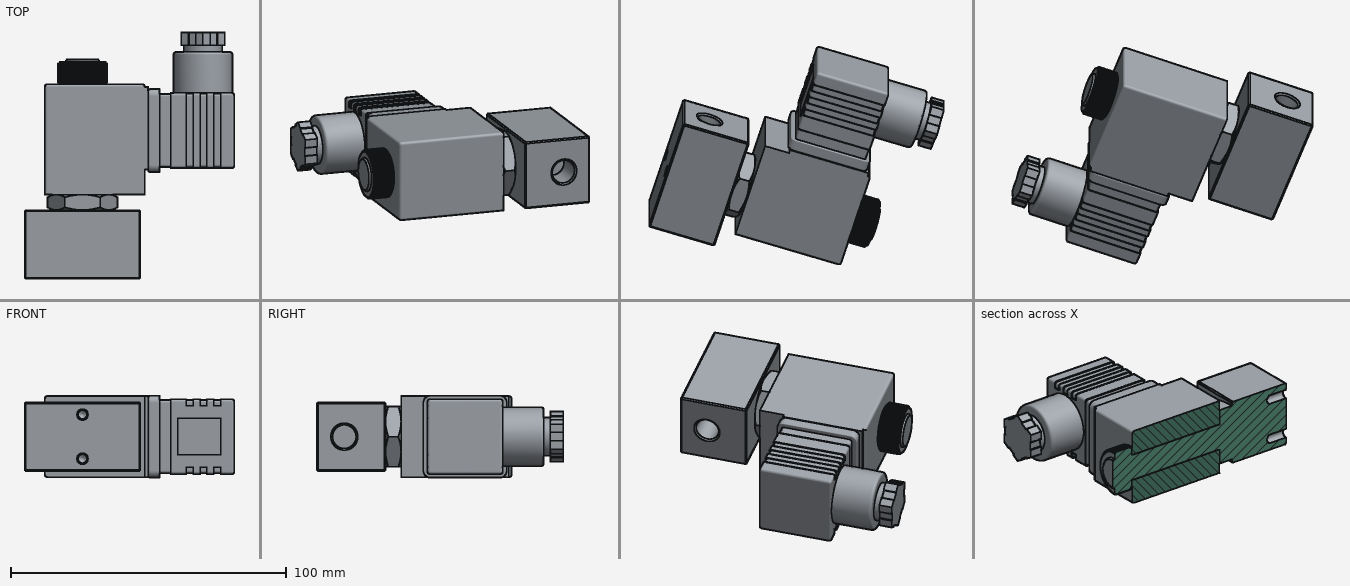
import cadquery as cq
import math


BLOCK_X = 42.0
BLOCK_Y = 25.0
BLOCK_Z = 25.0
BLOCK_CHAMFER = 0.5
MOUNT_HOLE_DIA = 3.24
MOUNT_HOLE_MOUTH_DIA = 4.0
MOUNT_HOLE_DEPTH = 8.0
MOUNT_HOLE_Z = 8.0
DRILL_TIP_ANGLE = 118.0
PORT_DIA = 8.57
PORT_MOUTH_DIA = 9.8
PORT_DEPTH = 12.0
PORT_Y = 10.0

HEX_ACROSS_FLATS = 22.0
HEX_HEIGHT = 5.6
HEX_CHAMFER_ANGLE = 30.0
STEM_DIA = 10.5
NUT_COLLAR_DIA = 16.0
NUT_COLLAR_HEIGHT = 0.5
KNURL_DIA = 18.0
KNURL_DEPTH = 0.3
KNURL_HEIGHT = 7.1
KNURL_TEETH = 90
KNURL_BEVEL = 0.25
NUT_TOP_DIA = 16.7
NUT_TOP_HEIGHT = 0.55
NUT_CAP_BASE_DIA = 12.4
NUT_CAP_TOP_DIA = 11.4
NUT_CAP_HEIGHT = 0.8

COIL_LEFT_X = -13.7
COIL_RIGHT_X = 22.6
COIL_Y = 40.1
COIL_Z = 29.5
COIL_FILLET = 1.0
SOCKET_X = 23.8
SOCKET_Y = 30.0

PLUG_END_X = 55.1
PLUG_CENTRE_Y = 53.82
FLANGE_X = 4.2
FLANGE_Y = 30.2
FLANGE_Z = 29.8
FLANGE_CORNER = 2.5
FLANGE_COIL_SIDE_FILLET = 0.8
FLANGE_OUTER_FILLET = 0.3
PLUG_NECK_X = 4.0
PLUG_NECK_SIZE = 26.6
PLUG_BODY_SIZE = 27.3
PLUG_FILLET = 1.0
GROOVE_WIDTH = 2.5
GROOVE_PITCH = 5.0
GROOVE_COUNT = 3
FIRST_GROOVE_X = 38.9
GROOVE_SIDE_LENGTH = 2.5
LABEL_X = 15.7
LABEL_Z = 13.2
LABEL_CENTRE_X = 42.35
LABEL_DEPTH = 0.3

GLAND_X = 43.7
GLAND_DIA = 21.5
GLAND_TOP_Y = 82.35
GLAND_FILLET = 1.0
GLAND_NECK_DIA = 14.0
GLAND_NUT_BOTTOM_Y = 84.75
GLAND_NUT_TOP_Y = 89.45
GLAND_NUT_ACROSS_FLATS = 15.9
GLAND_NUT_NOTCH_DEPTH = 0.5

COIL_BOTTOM_Y = BLOCK_Y + HEX_HEIGHT
COIL_TOP_Y = COIL_BOTTOM_Y + COIL_Y
NUT_BOTTOM_Y = COIL_TOP_Y + NUT_COLLAR_HEIGHT
KNURL_TOP_Y = NUT_BOTTOM_Y + KNURL_HEIGHT
NUT_TOP_Y = KNURL_TOP_Y + NUT_TOP_HEIGHT
NUT_CAP_TOP_Y = NUT_TOP_Y + NUT_CAP_HEIGHT


def plane_y(y, x=0.0):
    """Workplane facing +Y, with local X along X and local Y along -Z."""
    return cq.Workplane(cq.Plane(origin=(x, y, 0), xDir=(1, 0, 0), normal=(0, 1, 0)))


def cylinder_y(diameter, y_start, y_end, x=0.0):
    """Cylinder along Y between two Y positions."""
    return plane_y(y_start, x).circle(diameter / 2).extrude(y_end - y_start)


def box_between(x_range, y_range, z_size):
    """Box given by its X and Y limits, centred on Z = 0."""
    x_start, x_end = x_range
    y_start, y_end = y_range
    sketch = cq.Workplane("XY", origin=((x_start + x_end) / 2, (y_start + y_end) / 2, 0))
    return sketch.box(x_end - x_start, y_end - y_start, z_size)


def revolve_y(points):
    """Solid of revolution about the Y axis from (radius, y) points."""
    return cq.Workplane("XY").polyline(points).close().revolve(360, (0, 0, 0), (0, 1, 0))


def blind_hole_cutter(diameter, mouth_diameter, depth, tip_height):
    """Hole along +Z from Z = 0 with a 45 degree mouth chamfer and a pointed or flat floor."""
    radius = diameter / 2
    mouth_radius = mouth_diameter / 2
    profile = cq.Workplane("XZ").moveTo(0, 0).lineTo(mouth_radius, 0)
    profile = profile.lineTo(radius, mouth_radius - radius).lineTo(radius, depth)
    profile = profile.lineTo(0, depth + tip_height) if tip_height else profile.lineTo(0, depth)
    return profile.close().revolve(360, (0, 0, 0), (0, 1, 0))


def make_block():
    """Chamfered block with two mounting holes and a port in each end."""
    block = box_between((-BLOCK_X / 2, BLOCK_X / 2), (0, BLOCK_Y), BLOCK_Z)
    block = block.edges().chamfer(BLOCK_CHAMFER)

    tip_height = MOUNT_HOLE_DIA / 2 / math.tan(math.radians(DRILL_TIP_ANGLE / 2))
    mount_hole = blind_hole_cutter(MOUNT_HOLE_DIA, MOUNT_HOLE_MOUTH_DIA, MOUNT_HOLE_DEPTH, tip_height)
    mount_hole = mount_hole.rotate((0, 0, 0), (1, 0, 0), -90)
    for z in (-MOUNT_HOLE_Z, MOUNT_HOLE_Z):
        block = block.cut(mount_hole.translate((0, 0, z)))

    port = blind_hole_cutter(PORT_DIA, PORT_MOUTH_DIA, PORT_DEPTH, 0)
    for side in (-1, 1):
        facing_in = port.rotate((0, 0, 0), (0, 1, 0), -side * 90)
        block = block.cut(facing_in.translate((side * BLOCK_X / 2, PORT_Y, 0)))
    return block


def make_hexagon():
    """Hexagon between block and coil, its corners bevelled at both ends."""
    corner_dia = HEX_ACROSS_FLATS / math.cos(math.radians(30))
    hexagon = plane_y(BLOCK_Y).polygon(6, corner_dia).extrude(HEX_HEIGHT)
    flat_radius = HEX_ACROSS_FLATS / 2
    corner_radius = corner_dia / 2
    bevel_height = (corner_radius - flat_radius) * math.tan(math.radians(HEX_CHAMFER_ANGLE))
    envelope = revolve_y([
        (0, BLOCK_Y),
        (flat_radius, BLOCK_Y),
        (corner_radius, BLOCK_Y + bevel_height),
        (corner_radius, COIL_BOTTOM_Y - bevel_height),
        (flat_radius, COIL_BOTTOM_Y),
        (0, COIL_BOTTOM_Y),
    ])
    return hexagon.intersect(envelope)


def make_knurled_nut():
    """Nut with V-shaped knurling, a collar below, a smooth top and a conical cap."""
    crest_radius = KNURL_DIA / 2
    points = []
    for i in range(2 * KNURL_TEETH):
        radius = crest_radius - KNURL_DEPTH * (i % 2)
        angle = math.pi * i / KNURL_TEETH
        points.append((radius * math.cos(angle), radius * math.sin(angle)))
    knurled = plane_y(NUT_BOTTOM_Y).polyline(points).close().extrude(KNURL_HEIGHT)

    envelope = revolve_y([
        (0, NUT_BOTTOM_Y),
        (crest_radius - KNURL_BEVEL, NUT_BOTTOM_Y),
        (crest_radius, NUT_BOTTOM_Y + KNURL_BEVEL),
        (crest_radius, KNURL_TOP_Y - KNURL_BEVEL),
        (crest_radius - KNURL_BEVEL, KNURL_TOP_Y),
        (0, KNURL_TOP_Y),
    ])
    top = cylinder_y(NUT_TOP_DIA, KNURL_TOP_Y, NUT_TOP_Y)
    cap = revolve_y([
        (0, NUT_TOP_Y),
        (NUT_CAP_BASE_DIA / 2, NUT_TOP_Y),
        (NUT_CAP_TOP_DIA / 2, NUT_CAP_TOP_Y),
        (0, NUT_CAP_TOP_Y),
    ])
    collar = cylinder_y(NUT_COLLAR_DIA, COIL_TOP_Y, NUT_BOTTOM_Y)
    return knurled.intersect(envelope).union(collar).union(top).union(cap)


def make_valve():
    """Valve block, hexagon, stem through the coil and knurled nut."""
    stem = cylinder_y(STEM_DIA, COIL_BOTTOM_Y, COIL_TOP_Y)
    return make_block().union(make_hexagon()).union(stem).union(make_knurled_nut())


def make_coil():
    """Coil housing with a raised socket face for the plug and a bore for the stem."""
    coil = box_between((COIL_LEFT_X, COIL_RIGHT_X), (COIL_BOTTOM_Y, COIL_TOP_Y), COIL_Z)
    coil = coil.edges("(<X and |Y) or >Y").fillet(COIL_FILLET)
    socket_top_y = COIL_TOP_Y - COIL_FILLET
    socket = box_between((0, SOCKET_X), (socket_top_y - SOCKET_Y, socket_top_y), COIL_Z)
    bore = cylinder_y(STEM_DIA, COIL_BOTTOM_Y, COIL_TOP_Y)
    return coil.union(socket).cut(bore)


def plug_block(x_start, x_end, y_size, z_size):
    """Box section of the plug, centred on the plug axis."""
    y_range = (PLUG_CENTRE_Y - y_size / 2, PLUG_CENTRE_Y + y_size / 2)
    return box_between((x_start, x_end), y_range, z_size)


def make_flange():
    """Flange that lies against the coil socket."""
    flange = plug_block(SOCKET_X, SOCKET_X + FLANGE_X, FLANGE_Y, FLANGE_Z)
    flange = flange.edges("|X").fillet(FLANGE_CORNER)
    flange = flange.faces("<X").edges().fillet(FLANGE_COIL_SIDE_FILLET)
    return flange.faces(">X").edges().fillet(FLANGE_OUTER_FILLET)


def make_groove_cutter(x_centre):
    """Shallow groove over the top and bottom faces, turning a short way onto the sides."""
    x_start = x_centre - GROOVE_WIDTH / 2
    x_end = x_centre + GROOVE_WIDTH / 2
    margin = 1.0
    outer_size = PLUG_BODY_SIZE + 2 * margin
    ring = plug_block(x_start, x_end, outer_size, outer_size)
    core = plug_block(x_start, x_end, PLUG_NECK_SIZE, PLUG_NECK_SIZE).edges("|X").fillet(PLUG_FILLET)
    plain_side = plug_block(x_start, x_end, outer_size, PLUG_BODY_SIZE - 2 * GROOVE_SIDE_LENGTH)
    return ring.cut(core).cut(plain_side)


def make_gland():
    """Cable gland: round barrel, neck and six-lobed nut."""
    barrel = cylinder_y(GLAND_DIA, PLUG_CENTRE_Y, GLAND_TOP_Y, GLAND_X)
    barrel = barrel.faces(">Y").edges().fillet(GLAND_FILLET)
    neck = cylinder_y(GLAND_NECK_DIA, GLAND_TOP_Y, GLAND_NUT_BOTTOM_Y, GLAND_X)

    nut_height = GLAND_NUT_TOP_Y - GLAND_NUT_BOTTOM_Y
    corner_dia = GLAND_NUT_ACROSS_FLATS / math.cos(math.radians(30))
    flat_width = corner_dia / 2
    nut = plane_y(GLAND_NUT_BOTTOM_Y).polygon(6, corner_dia).extrude(nut_height)
    nut = nut.rotate((0, 0, 0), (0, 1, 0), 30)
    notch = plane_y(GLAND_NUT_BOTTOM_Y).center(GLAND_NUT_ACROSS_FLATS / 2, 0)
    notch = notch.rect(2 * GLAND_NUT_NOTCH_DEPTH, flat_width / 3).extrude(nut_height)
    for i in range(6):
        nut = nut.cut(notch.rotate((0, 0, 0), (0, 1, 0), 60 * i))
    return barrel.union(neck).union(nut.translate((GLAND_X, 0, 0)))


def make_plug():
    """Plug connector with flange, neck, grooved body, label recess and cable gland."""
    neck_start_x = SOCKET_X + FLANGE_X
    body_start_x = neck_start_x + PLUG_NECK_X
    neck = plug_block(neck_start_x, body_start_x, PLUG_NECK_SIZE, PLUG_NECK_SIZE)
    neck = neck.edges("|X").fillet(PLUG_FILLET)
    body = plug_block(body_start_x, PLUG_END_X, PLUG_BODY_SIZE, PLUG_BODY_SIZE)
    body = body.edges("|X or >X").fillet(PLUG_FILLET)
    for i in range(GROOVE_COUNT):
        body = body.cut(make_groove_cutter(FIRST_GROOVE_X + i * GROOVE_PITCH))

    body_front_y = PLUG_CENTRE_Y - PLUG_BODY_SIZE / 2
    label = plane_y(body_front_y, LABEL_CENTRE_X).rect(LABEL_X, LABEL_Z).extrude(LABEL_DEPTH)
    return make_flange().union(neck).union(body.cut(label)).union(make_gland())


valve = make_valve()
coil = make_coil()
plug = make_plug()

result = cq.Compound.makeCompound([valve.val(), coil.val(), plug.val()])